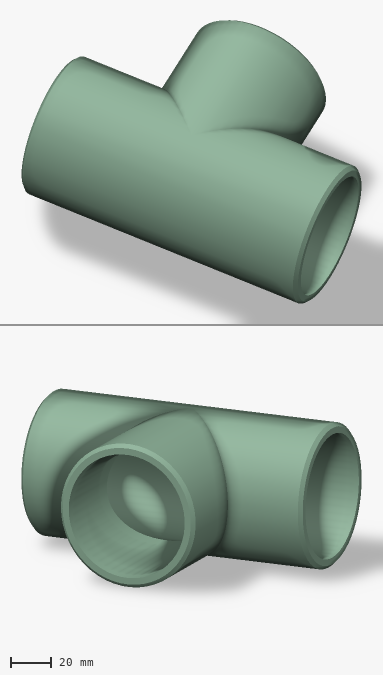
import cadquery as cq

run_length = 152.4
outer_diameter = 73.0
bore_diameter = 62.8
bevel_radial = 1.8
bevel_axial = 1.8

branch_length = run_length / 2
outer_radius = outer_diameter / 2


def bevelled_bar(start, end, bevel_start):
    """Solid bar along Y, bevelled at its end and optionally at its start."""
    tip_radius = outer_radius - bevel_radial
    profile = cq.Workplane("XY").moveTo(0, start)
    if bevel_start:
        profile = profile.lineTo(tip_radius, start).lineTo(outer_radius, start + bevel_axial)
    else:
        profile = profile.lineTo(outer_radius, start)
    profile = profile.lineTo(outer_radius, end - bevel_axial).lineTo(tip_radius, end).lineTo(0, end)
    return profile.close().revolve(360, (0, 0, 0), (0, 1, 0))


def along_x(bar):
    """Turn a bar lying along Y so that it lies along X."""
    return bar.rotate((0, 0, 0), (0, 0, 1), -90)


run = along_x(bevelled_bar(-run_length / 2, run_length / 2, True))
branch = bevelled_bar(0, branch_length, False)
body = run.union(branch)

run_bore = cq.Workplane("YZ").circle(bore_diameter / 2).extrude(run_length / 2, both=True)
branch_bore = cq.Workplane("XZ").circle(bore_diameter / 2).extrude(-branch_length)

result = body.cut(run_bore.union(branch_bore))